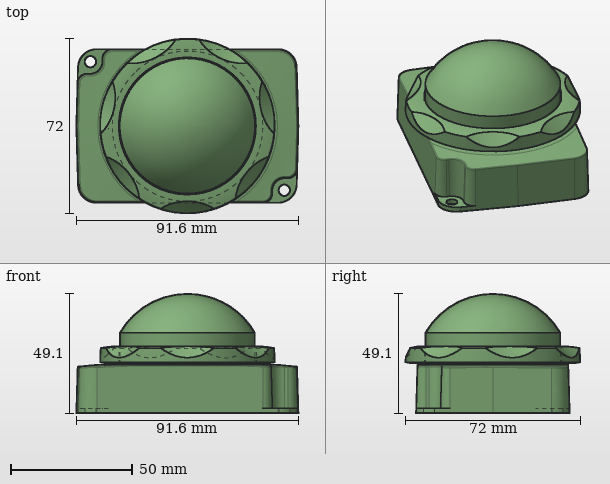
import cadquery as cq
import math

half_length = 45.8
half_width = 31.7
side_ridge = 0.9
end_x = half_length - side_ridge
corner_radius = 7.8
draft_angle = 1.7
housing_top = 19.95
top_edge_radius = 0.4

disc_radius = 37.0
end_drop = 0.8

tab_thickness = 2.1
screw_x = 39.9
screw_y = 26.45
screw_hole_diameter = 4.6
pocket_radius = 4.85
pocket_lip_radius = 4.0

dome_radius = 27.8
dome_base = 33.0
dome_top = 49.1
collar_diameter = 61.95
collar_radius = collar_diameter / 2
collar_top = 20.6

lug_reach = 32.5
lug_width = 2.4

ring_bore_radius = 28.3
ring_diameter = 72.0
ring_bottom_radius = ring_diameter / 2
ring_top_radius = 35.8
ring_foot_radius = 34.0
ring_wall_bottom = 21.0
ring_wall_top = 26.8
ring_crown_top = 27.5
ring_crown_bulge = 0.2

scallop_count = 7
first_scallop_angle = -90.0
scallop_radius = 38.1
scallop_tilt = 43.0
scallop_length = 54.9
scallop_low_point = 22.8

clearance = 2.7


def drafted_block(half_outline):
    """Drafted block from one half of its outline, given as (x, y, rounding radius) corners.

    The other half is the same run of corners turned by 180 degrees.
    """
    corners = half_outline + [(-x, -y, radius) for x, y, radius in half_outline]
    sketch = cq.Sketch().polygon([(x, y) for x, y, radius in corners + corners[:1]])
    for x, y, radius in corners:
        if radius > 0:
            sketch = sketch.reset().vertices(cq.NearestToPointSelector((x, y, 0))).fillet(radius)
    return cq.Workplane("XY").placeSketch(sketch.reset()).extrude(housing_top, taper=draft_angle)


def end_slope_cutter():
    """Body above the ruled slope that falls from the disc to the +X end."""
    far_y = half_width + clearance
    far_x = half_length + clearance
    slope = end_drop / (half_length - disc_radius)
    low_z = housing_top - slope * (far_x - disc_radius)
    rim_x = math.sqrt(disc_radius**2 - far_y**2)
    rim = cq.Edge.makeThreePointArc(
        cq.Vector(rim_x, -far_y, housing_top),
        cq.Vector(disc_radius, 0, housing_top),
        cq.Vector(rim_x, far_y, housing_top),
    )
    low_edge = cq.Edge.makeLine(cq.Vector(far_x, -far_y, low_z), cq.Vector(far_x, far_y, low_z))
    slope_face = cq.Face.makeRuledSurface(rim, low_edge)
    return cq.Workplane(cq.Solid.extrudeLinear(slope_face, cq.Vector(0, 0, clearance)))


def make_upper_housing():
    """Housing above the tabs: pockets at two corners, sloped ends and eased top edges."""
    wall_x = screw_x - pocket_radius
    wall_y = -screw_y + pocket_radius
    side_x = half_length + side_ridge * wall_y / half_width
    upper = drafted_block([
        (-end_x, -half_width, corner_radius),
        (wall_x, -half_width, pocket_lip_radius),
        (wall_x, wall_y, pocket_radius),
        (side_x, wall_y, pocket_lip_radius),
        (half_length, 0, 0),
    ])
    for turn in (0, 180):
        upper = upper.cut(end_slope_cutter().rotate((0, 0, 0), (0, 0, 1), turn))
    top_faces = upper.faces(cq.selectors.BoxSelector(
        (-half_length, -half_width, housing_top - end_drop), (half_length, half_width, housing_top + end_drop)))
    return top_faces.edges("not %CIRCLE").fillet(top_edge_radius)


def make_tab_plate():
    """Bottom slice of the full block; its bare corners are the mounting tabs."""
    block = drafted_block([
        (-end_x, -half_width, corner_radius),
        (end_x, -half_width, corner_radius),
        (half_length, 0, 0),
    ])
    slab = cq.Workplane("XY").box(
        2 * (half_length + clearance), 2 * (half_width + clearance), tab_thickness, centered=(True, True, False))
    return (
        block.intersect(slab)
        .faces("<Z")
        .workplane(origin=(0, 0, 0))
        .pushPoints([(screw_x, screw_y), (-screw_x, -screw_y)])
        .hole(screw_hole_diameter)
    )


def make_dome():
    """Collar under the ring, cylindrical stem and spherical dome."""
    rise = dome_top - dome_base
    sphere_radius = (dome_radius**2 + rise**2) / (2 * rise)
    sphere_center_z = dome_top - sphere_radius
    mid_angle = (math.asin((dome_base - sphere_center_z) / sphere_radius) + math.pi / 2) / 2
    mid_point = (sphere_radius * math.cos(mid_angle), sphere_center_z + sphere_radius * math.sin(mid_angle))
    return (
        cq.Workplane("XZ")
        .moveTo(0, housing_top)
        .lineTo(collar_radius, housing_top)
        .lineTo(collar_radius, collar_top)
        .lineTo(dome_radius, collar_top)
        .lineTo(dome_radius, dome_base)
        .threePointArc(mid_point, (0, dome_top))
        .close()
        .revolve(360, (0, 0, 0), (0, 1, 0))
    )


def make_index_lug():
    """Small block reaching out from the collar toward -X."""
    length = lug_reach - dome_radius
    return (
        cq.Workplane("XY", origin=(-lug_reach, 0, housing_top))
        .box(length, lug_width, collar_top - housing_top, centered=(False, True, False))
    )


def make_housing():
    """Housing with its dome and index lug, one solid."""
    return make_tab_plate().union(make_upper_housing()).union(make_dome()).union(make_index_lug())


def scallop_cutter(angle):
    """Tilted cylinder that dips into the rim of the ring at the given angle."""
    tilt = math.radians(scallop_tilt)
    axis = cq.Vector(math.cos(tilt), 0, -math.sin(tilt))
    normal = cq.Vector(math.sin(tilt), 0, math.cos(tilt))
    low_point = cq.Vector(ring_bottom_radius, 0, scallop_low_point)
    start = low_point + normal * scallop_radius - axis * (scallop_length / 2)
    cylinder = cq.Solid.makeCylinder(scallop_radius, scallop_length, start, axis)
    return cq.Workplane(cylinder).rotate((0, 0, 0), (0, 0, 1), angle)


def make_ring():
    """Grip ring that rests on the collar, with scallops around its rim."""
    crown_middle = (
        (ring_bore_radius + ring_top_radius) / 2,
        (ring_wall_top + ring_crown_top) / 2 + ring_crown_bulge,
    )
    ring = (
        cq.Workplane("XZ")
        .moveTo(ring_bore_radius, collar_top)
        .lineTo(ring_foot_radius, collar_top)
        .lineTo(ring_bottom_radius, ring_wall_bottom)
        .lineTo(ring_top_radius, ring_wall_top)
        .threePointArc(crown_middle, (ring_bore_radius, ring_crown_top))
        .close()
        .revolve(360, (0, 0, 0), (0, 1, 0))
    )
    for index in range(scallop_count):
        ring = ring.cut(scallop_cutter(first_scallop_angle + index * 360 / scallop_count))
    return ring


housing = make_housing()
ring = make_ring()
result = cq.Compound.makeCompound([housing.val(), ring.val()])